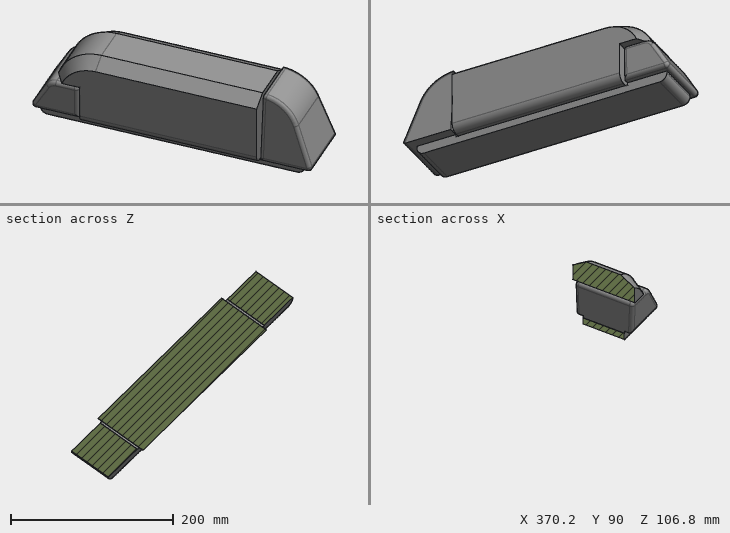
import cadquery as cq
import math

base_length = 350.0
base_width = 60.0
base_height = 10.0
base_end_radius = 10.0
pad_height = 3.0

body_width = 90.0
body_height = 94.0
body_right = 117.5
body_nose_start = -96.0
body_nose_radius = 60.0
body_bottom_radius = 10.0
bevel_width = 20.0
bevel_angle = 30.0
bevel_drop = bevel_width * math.tan(math.radians(bevel_angle))
notch_right = -117.0
notch_ceiling = 63.0

cap_gap = 3.0
cap_edge_radius = 5.0
cap_bottom = base_height + pad_height

low_cap_right = notch_right - cap_gap
low_cap_top = notch_ceiling - cap_gap
low_cap_tip = -185.77
low_cap_lean = 30.0
low_cap_shoulder_radius = 15.0
low_cap_bottom_width = 81.5
low_cap_draft = -2.0

tall_cap_left = body_right + cap_gap
tall_cap_top = 107.08
tall_cap_roof_radius = 50.7
tall_cap_lean = 20.0
tall_cap_bottom_width = 86.0
tall_cap_draft = 5.5

body_top = base_height + body_height


def block(x_min, x_max, width, z_min, z_max):
    """Box between two X and two Z positions, centred in Y."""
    return cq.Workplane("XY").box(
        x_max - x_min, width, z_max - z_min, centered=(False, True, False)
    ).translate((x_min, 0, z_min))


def prism(outline, width):
    """Extrude a closed XZ outline symmetrically about Y = 0."""
    return outline.close().extrude(width / 2, both=True)


def drafted_sides(cap, bottom_width, draft, trim_top):
    """Trim a cap so that its two sides lean by the draft angle."""
    half_bottom = bottom_width / 2
    trim_height = trim_top - cap_bottom
    half_top = half_bottom - trim_height * math.tan(math.radians(draft))
    trimmer = (
        cq.Workplane("YZ")
        .moveTo(-half_bottom, cap_bottom)
        .lineTo(half_bottom, cap_bottom)
        .lineTo(half_top, trim_top)
        .lineTo(-half_top, trim_top)
        .close()
        .extrude(base_length, both=True)
    )
    return cap.intersect(trimmer)


def round_edges(cap, sharp_edges):
    """Round every edge of a cap except the ones that stay sharp."""
    rounded = [
        edge for edge in cap.edges().vals()
        if not any(edge.isSame(sharp) for sharp in sharp_edges)
    ]
    return cap.newObject(rounded).fillet(cap_edge_radius)


def make_base():
    """Rail with a raised pad under each cap and rounded lower ends."""
    half_length = base_length / 2
    rail = block(-half_length, half_length, base_width, 0, base_height)
    pad_spans = ((-half_length, low_cap_right), (tall_cap_left, half_length))
    for x_min, x_max in pad_spans:
        rail = rail.union(block(x_min, x_max, base_width, base_height, cap_bottom))
    return rail.edges("|Y and <Z").fillet(base_end_radius)


def make_body():
    """Bevelled housing with a curved nose, notched for the low cap."""
    nose_left = body_nose_start - body_nose_radius
    nose_center_z = body_top - body_nose_radius
    diagonal = body_nose_radius * math.sqrt(0.5)
    outline = (
        cq.Workplane("XZ")
        .moveTo(body_right, base_height)
        .lineTo(nose_left, base_height)
        .lineTo(nose_left, nose_center_z)
        .threePointArc(
            (body_nose_start - diagonal, nose_center_z + diagonal),
            (body_nose_start, body_top),
        )
        .lineTo(body_right, body_top)
    )
    near_half = outline.close().extrude(body_width / 2)
    near_half = near_half.edges("|X and >Z and <Y").chamfer(bevel_width, bevel_drop)
    body = near_half.union(near_half.mirror("XZ"))
    body = body.cut(block(nose_left, notch_right, body_width, base_height, notch_ceiling))
    return body.edges("|X and <Z").fillet(body_bottom_radius)


def make_low_cap():
    """Low cap at the -X end; only its inner bottom edge stays sharp."""
    slope_run = (low_cap_top - cap_bottom) * math.tan(math.radians(low_cap_lean))
    outline = (
        cq.Workplane("XZ")
        .moveTo(low_cap_tip, cap_bottom)
        .lineTo(low_cap_tip + slope_run, low_cap_top)
        .lineTo(low_cap_right, low_cap_top)
        .lineTo(low_cap_right, cap_bottom)
    )
    cap = prism(outline, body_width)
    cap = drafted_sides(cap, low_cap_bottom_width, low_cap_draft, low_cap_top)
    shoulder_edge = cap.faces("<X").edges(">Z")
    cap = shoulder_edge.fillet(low_cap_shoulder_radius)
    return round_edges(cap, cap.faces(">X").edges("<Z").vals())


def make_tall_cap():
    """Tall cap at the +X end; its +Y side is sharp at the bottom and inner end."""
    lean = math.radians(tall_cap_lean)
    roof_center_z = tall_cap_top - tall_cap_roof_radius

    def roof_point(angle):
        """Point on the roof arc at an angle above the X direction."""
        return (
            tall_cap_left + tall_cap_roof_radius * math.cos(angle),
            roof_center_z + tall_cap_roof_radius * math.sin(angle),
        )

    roof_end_x, roof_end_z = roof_point(lean)
    tip_x = roof_end_x + (roof_end_z - cap_bottom) * math.tan(lean)
    outline = (
        cq.Workplane("XZ")
        .moveTo(tall_cap_left, cap_bottom)
        .lineTo(tall_cap_left, tall_cap_top)
        .threePointArc(roof_point((lean + math.pi / 2) / 2), (roof_end_x, roof_end_z))
        .lineTo(tip_x, cap_bottom)
    )
    cap = prism(outline, body_width)
    cap = drafted_sides(cap, tall_cap_bottom_width, tall_cap_draft, tall_cap_top + cap_edge_radius)
    far_side_edges = cap.faces("<X").edges(">Y").vals() + cap.faces("<Z").edges(">Y").vals()
    inner_bottom_edge = cap.faces("<X").edges("<Z").vals()
    return round_edges(cap, far_side_edges + inner_bottom_edge)


result = make_base().union(make_body()).union(make_low_cap()).union(make_tall_cap())